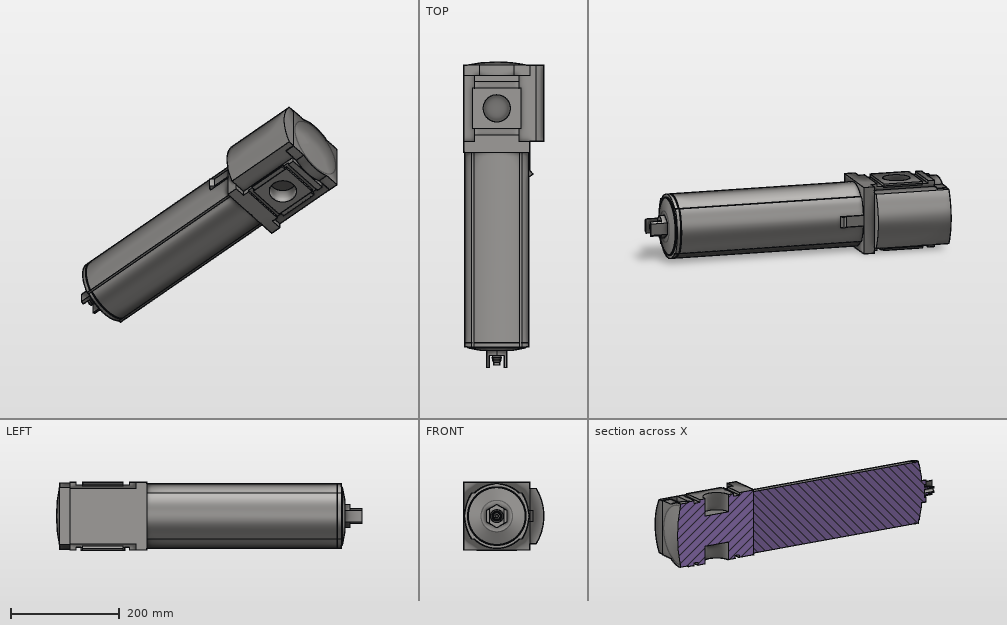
import cadquery as cq
import math


head_width = 122.0
head_height = 125.5
head_length = 141.5
flange_length = 20.0
core_half_width = 40.5
strip_half_height = 51.0

port_y = 81.0
port_diameter = 50.0
port_depth = 33.0
channel_half_length = 49.0
channel_depth = 5.0
pad_half_width = 44.5
pad_half_length = 37.0
pad_edge_thickness = 3.5
pad_bevel = pad_half_width - core_half_width
plate_half_width = 36.0
plate_half_length = 40.5
plate_protrusion = 0.5

side_cover_rim_x = 72.5
overall_width = 148.0

end_cap_length = 18.5
end_cap_half_width = 60.5
end_cap_radius = 61.0
end_cap_half_height = 52.0
crown_radius = 57.0
crown_rise = 6.0

bowl_radius = 59.5
bowl_half_width = 59.0
shoulder_z = 42.0
side_shoulder_x = 46.5
bowl_length = 357.5
bowl_inset = 1.0
groove_y = -349.0
groove_width = 1.5

seat_diameter = 108.0
seat_length = 1.0
dome_rim_radius = 52.0
dome_rim_length = 2.0
dome_face_diameter = 58.0
dome_length = 7.0

drain_across_flats = 37.0
drain_slot_width = 27.0
drain_slot_floor_y = -374.0
drain_tip_y = -395.5
nozzle_tip_y = -391.0
nozzle_stem_diameter = 16.0
nozzle_tip_diameter = 12.0
nozzle_bore_diameter = 6.0
barb_diameters = (18.0, 16.0)
barb_start_y = -377.0
barb_length = 4.5
nozzle_pocket_diameter = 23.5
nozzle_pocket_depth = 3.0

latch_width = 20.0
latch_hook_x = 67.0
latch_hook_start_y = -33.0
latch_hook_tip_y = -40.0
latch_end_y = -44.5

cut_clearance = 5.5
half_width = head_width / 2
half_height = head_height / 2
head_back_y = head_length + end_cap_length
side_cover_crown_x = overall_width - half_width


def block(x_range, y_range, z_range):
    """Axis-aligned box between the given limits."""
    size = [high - low for low, high in (x_range, y_range, z_range)]
    corner = (x_range[0], y_range[0], z_range[0])
    return cq.Workplane("XY").box(*size, centered=False).translate(corner)


def head_block():
    """Front flange, tall core, and lower strips along both sides of the core."""
    flange = block((-half_width, half_width), (0, flange_length), (-half_height, half_height))
    core = block((-core_half_width, core_half_width), (0, head_length), (-half_height, half_height))
    strips = block((-half_width, half_width), (0, head_length), (-strip_half_height, strip_half_height))
    return flange.union(core).union(strips)


def channel():
    """Cross channel in the top of the core that surrounds the port pad."""
    return block(
        (-half_width, half_width),
        (port_y - channel_half_length, port_y + channel_half_length),
        (half_height - channel_depth, half_height + cut_clearance),
    )


def port_pad():
    """Port pad flush with the core, its side edges bevelled underneath."""
    edge_z = half_height - pad_edge_thickness
    return (
        cq.Workplane("XZ", origin=(0, port_y + pad_half_length, 0))
        .moveTo(-core_half_width, edge_z - pad_bevel)
        .lineTo(-pad_half_width, edge_z)
        .lineTo(-pad_half_width, half_height)
        .lineTo(pad_half_width, half_height)
        .lineTo(pad_half_width, edge_z)
        .lineTo(core_half_width, edge_z - pad_bevel)
        .close()
        .extrude(2 * pad_half_length)
    )


def bottom_plate():
    """Thin plate under the bottom pad, standing slightly proud of the core."""
    return block(
        (-plate_half_width, plate_half_width),
        (port_y - plate_half_length, port_y + plate_half_length),
        (-half_height - plate_protrusion, channel_depth - half_height),
    )


def port_hole():
    """Blind port bore from the top."""
    bore = cq.Workplane("XY", origin=(0, port_y, half_height - port_depth))
    return bore.circle(port_diameter / 2).extrude(port_depth + cut_clearance)


def side_cover():
    """Crowned cover on the +X side."""
    return (
        cq.Workplane("XZ", origin=(0, head_back_y, 0))
        .moveTo(half_width, -strip_half_height)
        .lineTo(side_cover_rim_x, -strip_half_height)
        .threePointArc((side_cover_crown_x, 0), (side_cover_rim_x, strip_half_height))
        .lineTo(half_width, strip_half_height)
        .close()
        .extrude(head_back_y - flange_length)
    )


def end_cap():
    """Cap behind the head: a rectangle with round top and bottom, and a domed back."""
    plate = block(
        (-end_cap_half_width, end_cap_half_width),
        (head_length, head_back_y),
        (-end_cap_half_height, end_cap_half_height),
    )
    disc = cq.Workplane("XZ", origin=(0, head_back_y, 0)).circle(end_cap_radius).extrude(end_cap_length)
    side_trim = block(
        (-end_cap_half_width, end_cap_half_width),
        (head_length, head_back_y),
        (-half_height, half_height),
    )
    disc = disc.intersect(side_trim)
    sphere_radius = (crown_radius**2 + crown_rise**2) / (2 * crown_rise)
    mid_radius = crown_radius / 2
    mid_rise = crown_rise - sphere_radius + math.sqrt(sphere_radius**2 - mid_radius**2)
    crown = (
        cq.Workplane("XY")
        .moveTo(0, head_back_y)
        .lineTo(crown_radius, head_back_y)
        .threePointArc((mid_radius, head_back_y + mid_rise), (0, head_back_y + crown_rise))
        .close()
        .revolve(360, (0, 0, 0), (0, 1, 0))
    )
    return plate.union(disc).union(crown)


def make_head():
    body = head_block()
    top_channel = channel()
    pad = port_pad()
    hole = port_hole()
    body = body.cut(top_channel).cut(top_channel.mirror("XY"))
    body = body.union(pad).union(pad.mirror("XY")).union(bottom_plate())
    bottom_hole = hole.mirror("XY")
    body = body.cut(hole).cut(bottom_hole)
    return body.union(side_cover()).union(end_cap())


def bowl_section(inset, start_y, length):
    """Length of the bowl profile, running towards -Y: four arcs with short steps between them."""
    radius = bowl_radius - inset
    half_span = bowl_half_width - inset
    top_x = math.sqrt(bowl_radius**2 - shoulder_z**2) - inset
    side_x = side_shoulder_x - inset
    return (
        cq.Workplane("XZ", origin=(0, start_y, 0))
        .moveTo(-top_x, shoulder_z)
        .threePointArc((0, radius), (top_x, shoulder_z))
        .lineTo(side_x, shoulder_z)
        .threePointArc((half_span, 0), (side_x, -shoulder_z))
        .lineTo(top_x, -shoulder_z)
        .threePointArc((0, -radius), (-top_x, -shoulder_z))
        .lineTo(-side_x, -shoulder_z)
        .threePointArc((-half_span, 0), (-side_x, shoulder_z))
        .close()
        .extrude(length)
    )


def bowl_shell():
    """Bowl body with a shallow groove near its closed end."""
    groove_end_y = groove_y - groove_width
    upper = bowl_section(0, 0, -groove_y)
    neck = bowl_section(bowl_inset, groove_y, groove_width)
    lower = bowl_section(0, groove_end_y, bowl_length + groove_end_y)
    return upper.union(neck).union(lower)


def bowl_dome():
    """Shallow dome that closes the bowl, with a flat face around the drain."""
    seat_radius = seat_diameter / 2
    face_radius = dome_face_diameter / 2
    rim_y = -bowl_length - dome_rim_length
    face_y = -bowl_length - dome_length
    return (
        cq.Workplane("XY")
        .moveTo(0, -bowl_length)
        .lineTo(seat_radius, -bowl_length)
        .lineTo(seat_radius, -bowl_length - seat_length)
        .lineTo(dome_rim_radius, rim_y)
        .lineTo(face_radius, face_y)
        .lineTo(0, face_y)
        .close()
        .revolve(360, (0, 0, 0), (0, 1, 0))
    )


def drain():
    """Slotted hexagon with a barbed nozzle between its two prongs."""
    base_y = -bowl_length - dome_length
    across_corners = drain_across_flats / math.cos(math.pi / 6)
    hexagon = (
        cq.Workplane("XZ", origin=(0, base_y, 0))
        .transformed(rotate=(0, 0, 90))
        .polygon(6, across_corners)
        .extrude(base_y - drain_tip_y)
    )
    slot = block(
        (-drain_slot_width / 2, drain_slot_width / 2),
        (drain_tip_y, drain_slot_floor_y),
        (-across_corners, across_corners),
    )
    pocket_y = drain_slot_floor_y + nozzle_pocket_depth
    pocket = (
        cq.Workplane("XZ", origin=(0, pocket_y, 0))
        .circle(nozzle_pocket_diameter / 2)
        .extrude(nozzle_pocket_depth)
    )
    return hexagon.cut(slot).cut(pocket).union(nozzle(pocket_y))


def nozzle(base_y):
    """Hose nozzle: a stem, barbs that taper towards the tip, and a bore along the axis."""
    stem_radius = nozzle_stem_diameter / 2
    tip_radius = nozzle_tip_diameter / 2
    bore_radius = nozzle_bore_diameter / 2
    outline = (
        cq.Workplane("XY")
        .moveTo(bore_radius, base_y)
        .lineTo(stem_radius, base_y)
        .lineTo(stem_radius, barb_start_y)
    )
    for index, barb_diameter in enumerate(barb_diameters):
        barb_y = barb_start_y - index * barb_length
        outline = outline.lineTo(barb_diameter / 2, barb_y).lineTo(tip_radius, barb_y - barb_length)
    outline = outline.lineTo(tip_radius, nozzle_tip_y).lineTo(bore_radius, nozzle_tip_y).close()
    return outline.revolve(360, (0, 0, 0), (0, 1, 0))


def latch():
    """Latch strip along the +X side of the bowl, ending in a hook."""
    inner_x = bowl_half_width - bowl_inset
    return (
        cq.Workplane("XY", origin=(0, 0, -latch_width / 2))
        .moveTo(inner_x, 0)
        .lineTo(half_width, 0)
        .lineTo(half_width, latch_hook_start_y)
        .lineTo(latch_hook_x, latch_hook_tip_y)
        .lineTo(half_width, latch_end_y)
        .lineTo(inner_x, latch_end_y)
        .close()
        .extrude(latch_width)
    )


def make_bowl():
    return bowl_shell().union(bowl_dome()).union(drain()).union(latch())


head = make_head()
bowl = make_bowl()
result = cq.Compound.makeCompound([head.val(), bowl.val()])